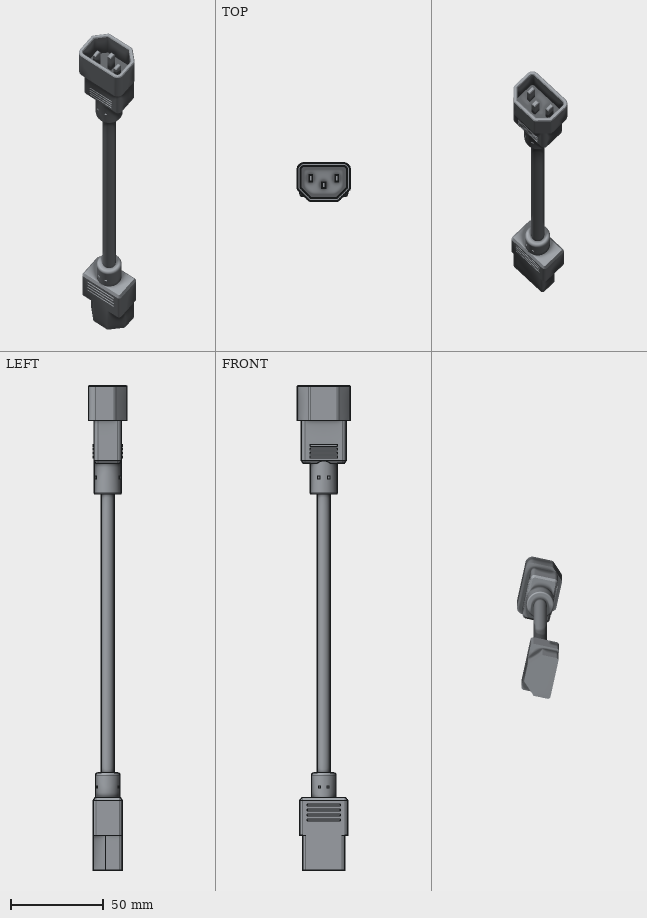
import cadquery as cq
import math


total_length = 261.45
connector_nose_top = 18.9
connector_body_top = 39.35
connector_relief_top = 52.7
plug_relief_bottom = total_length - 58.6
plug_body_bottom = total_length - 42.0
plug_shroud_bottom = total_length - 18.9

cable_diameter = 7.1

shroud_width = 28.7
shroud_depth = 20.83
shroud_wall = 2.1
shroud_corner_radius = 3.7
shroud_bevel = 6.5
shroud_bevel_radius = 1.5
cavity_bevel = shroud_bevel - shroud_wall * (2 - math.sqrt(2))
shroud_rim_bevel = 0.5
cavity_depth = 16.0
plug_body_width = 24.4
plug_body_depth = 14.9
plug_body_radius = 2.2
plug_relief_diameter = 14.6
plug_relief_fillet = 0.8

power_blade_offset = 7.0
power_blade_y = 2.0
power_blade_width = 2.0
power_blade_depth = 4.0
earth_blade_y = -1.7
earth_blade_width = 2.4
earth_blade_depth = 3.4
blade_length = 12.0
blade_tip_bevel = 0.4

connector_body_width = 25.9
connector_depth = 15.7
connector_body_radius = 1.6
nose_width = 22.9
nose_radius = 1.5
nose_bevel = 6.7
connector_relief_diameter = 13.4
connector_relief_fillet = 1.5

neck_bevel_height = 1.6
neck_bevel_inset = 1.1

grip_count = 4
grip_height = 1.1
plug_grip_length = 15.0
plug_grip_pitch = 2.1
plug_grip_rise = 0.4
plug_grip_middle = total_length - 35.4
connector_grip_length = 18.0
connector_grip_pitch = 2.65
connector_grip_sink = 0.5
connector_grip_middle = total_length - 230.2

pocket_sink = 1.2
plug_pocket_size = 1.6
plug_pocket_spacing = 5.4
plug_pocket_height = total_length - 49.6
connector_pocket_size = 1.2
connector_pocket_spacing = 4.7
connector_pocket_height = total_length - 216.5


def column(diameter, bottom, top):
    """Round column on the cable axis."""
    return cq.Workplane("XY").workplane(offset=bottom).circle(diameter / 2).extrude(top - bottom)


def rounded_block(width, depth, radius, bottom, top):
    """Upright block with all four vertical edges rounded."""
    block = cq.Workplane("XY").workplane(offset=bottom).rect(width, depth).extrude(top - bottom)
    return block.edges("|Z").fillet(radius)


def keyed_block(width, depth, radius, bevel, beveled_side, bottom, top):
    """Upright block with two corners bevelled on one Y side and two rounded on the other."""
    block = cq.Workplane("XY").workplane(offset=bottom).rect(width, depth).extrude(top - bottom)
    rounded_side = ">Y" if beveled_side == "<Y" else "<Y"
    block = block.faces(beveled_side).edges("|Z").chamfer(bevel)
    return block.faces(rounded_side).edges("|Z").fillet(radius)


def bevel_neck(body, face):
    """Bevel the rim of a body's end face, taller along Z than it is deep."""
    rim = body.faces(face).wires().val()
    beveled = body.val().chamfer(neck_bevel_height, neck_bevel_inset, rim.Edges())
    return cq.Workplane(obj=beveled)


def grip_bars(length, pitch, middle, surface, thickness):
    """Stacks of round-ended bars centred on the surfaces at Y = +surface and Y = -surface."""
    heights = [(0, middle + (i - (grip_count - 1) / 2) * pitch) for i in range(grip_count)]
    bars = cq.Workplane("XZ").pushPoints(heights).slot2D(length, grip_height).extrude(thickness, both=True)
    return bars.translate((0, surface, 0)).union(bars.translate((0, -surface, 0)))


def relief_pockets(size, spacing, height, relief_diameter):
    """Square cutters that sink into the front and back of a strain relief."""
    cutters = cq.Workplane("XZ").pushPoints([(-spacing / 2, height), (spacing / 2, height)]).rect(size, size)
    cutters = cutters.extrude(relief_diameter, both=True)
    core = cq.Workplane("XY").box(relief_diameter, relief_diameter - 2 * pocket_sink, 2 * total_length)
    return cutters.cut(core)


def make_plug():
    """Shrouded inlet with three blades, a gripped body and a strain relief below."""
    shroud = keyed_block(
        shroud_width, shroud_depth, shroud_corner_radius, shroud_bevel, "<Y", plug_shroud_bottom, total_length
    )
    bevel_zone_back = -shroud_depth / 2 + shroud_bevel + shroud_bevel_radius
    bevel_zone = cq.selectors.BoxSelector(
        (-shroud_width, -shroud_depth, plug_shroud_bottom), (shroud_width, bevel_zone_back, total_length)
    )
    shroud = shroud.edges("|Z").edges(bevel_zone).fillet(shroud_bevel_radius)
    cavity_floor = total_length - cavity_depth
    cavity = keyed_block(
        shroud_width - 2 * shroud_wall,
        shroud_depth - 2 * shroud_wall,
        shroud_corner_radius - shroud_wall,
        cavity_bevel,
        "<Y",
        cavity_floor,
        total_length,
    )
    shroud = shroud.cut(cavity)
    shroud = shroud.faces(">Z").edges().chamfer(shroud_rim_bevel)

    power_centers = [(side * power_blade_offset, power_blade_y) for side in (-1, 1)]
    floor = cq.Workplane("XY").workplane(offset=cavity_floor)
    power_blades = floor.pushPoints(power_centers).rect(power_blade_width, power_blade_depth)
    power_blades = power_blades.extrude(blade_length)
    earth_blade = floor.center(0, earth_blade_y).rect(earth_blade_width, earth_blade_depth)
    earth_blade = earth_blade.extrude(blade_length)
    blades = power_blades.union(earth_blade)
    blades = blades.faces(">Z").edges().chamfer(blade_tip_bevel)

    body = rounded_block(
        plug_body_width, plug_body_depth, plug_body_radius, plug_body_bottom, plug_shroud_bottom
    )
    body = bevel_neck(body, "<Z")
    grips = grip_bars(
        plug_grip_length, plug_grip_pitch, plug_grip_middle, plug_body_depth / 2, plug_grip_rise
    )

    relief = column(plug_relief_diameter, plug_relief_bottom, plug_shroud_bottom)
    relief = relief.faces("<Z").edges().fillet(plug_relief_fillet)
    relief = relief.cut(
        relief_pockets(plug_pocket_size, plug_pocket_spacing, plug_pocket_height, plug_relief_diameter)
    )
    return shroud.union(blades).union(body).union(grips).union(relief)


def make_connector():
    """Outlet with a keyed nose, a wider gripped body and a strain relief above."""
    nose = keyed_block(
        nose_width, connector_depth, nose_radius, nose_bevel, ">Y", 0, connector_nose_top
    )
    body = rounded_block(
        connector_body_width, connector_depth, connector_body_radius, connector_nose_top, connector_body_top
    )
    body = bevel_neck(body, ">Z")
    grips = grip_bars(
        connector_grip_length,
        connector_grip_pitch,
        connector_grip_middle,
        connector_depth / 2,
        connector_grip_sink,
    )

    relief = column(connector_relief_diameter, connector_body_top, connector_relief_top)
    relief = relief.faces(">Z").edges().fillet(connector_relief_fillet)
    relief = relief.cut(
        relief_pockets(
            connector_pocket_size,
            connector_pocket_spacing,
            connector_pocket_height,
            connector_relief_diameter,
        )
    )
    return nose.union(body.cut(grips)).union(relief)


plug = make_plug()
connector = make_connector()

cable = column(cable_diameter, connector_relief_top, plug_relief_bottom)

result = cq.Compound.makeCompound([plug.val(), cable.val(), connector.val()])